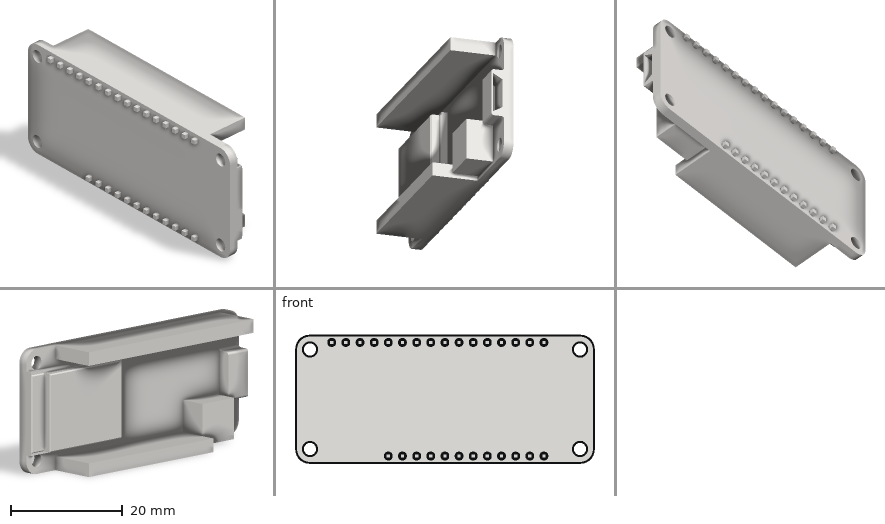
import cadquery as cq

board_length = 53.45
board_height = 22.9
board_thickness = 1.8
corner_radius = 2.5
mount_hole_diameter = 2.5
board_left = -board_length / 2
board_right = board_length / 2
board_bottom = -board_height / 2
board_top = board_height / 2

header_width = 2.5
header_depth = 8.55
header_overhang = 1.7
pin_side = 0.85
pin_reach = 0.8
pin_hole_diameter = 1.3
first_pin_x = -20.3
upper_row_length = 38.05
upper_pin_count = 16
pin_pitch = upper_row_length / (upper_pin_count - 1)
lower_pin_count = 12
pin_row_z = board_top - header_width / 2

usb_length = 5.0
usb_width = 8.8
usb_height = 2.4
usb_fillet = 0.5
usb_mouth_outer_width = 7.4
usb_mouth_inner_width = 5.35
usb_mouth_bottom = 0.3
usb_mouth_top = 2.15
usb_mouth_depth = 4.0

battery_length = 7.9
battery_width = 7.6
battery_height = 5.0
battery_center_x = -16.6
battery_edge_gap = 0.6

module_length = 21.7
module_width = 15.3
module_height = 1.1
plate_inset = 0.5
plate_thickness = 0.25
plate_chamfer = 0.2
shield_setback = 3.05
shield_height = 1.6
shield_chamfer = 0.2


def block(x_min, x_max, y_min, y_max, z_min, z_max):
    """Box between the given limits."""
    box = cq.Workplane("XY").box(x_max - x_min, y_max - y_min, z_max - z_min, centered=False)
    return box.translate((x_min, y_min, z_min))


def pin_centers(count):
    """X places of a row of pins that ends at the right-hand pin of the upper row."""
    skipped = upper_pin_count - count
    return [first_pin_x + pin_pitch * index for index in range(skipped, upper_pin_count)]


def make_board():
    """Rounded plate with a mounting hole concentric with each corner."""
    plate = block(board_left, board_right, 0, board_thickness, board_bottom, board_top)
    plate = plate.edges("|Y").fillet(corner_radius)
    return (
        plate.faces("<Y").workplane(centerOption="CenterOfBoundBox")
        .rect(board_length - 2 * corner_radius, board_height - 2 * corner_radius, forConstruction=True)
        .vertices().hole(mount_hole_diameter)
    )


def add_header(body, count, row_z):
    """Add a header body and its square pins, each pin in a clearance hole through the board."""
    centers = pin_centers(count)
    points = [(x, row_z) for x in centers]
    holes = cq.Workplane("XZ").pushPoints(points).circle(pin_hole_diameter / 2).extrude(-board_thickness)
    pins = (
        cq.Workplane("XZ", origin=(0, -pin_reach, 0))
        .pushPoints(points).rect(pin_side, pin_side).extrude(-(pin_reach + board_thickness))
    )
    header = block(
        centers[0] - header_overhang, centers[-1] + header_overhang,
        board_thickness, board_thickness + header_depth,
        row_z - header_width / 2, row_z + header_width / 2,
    )
    return body.cut(holes).union(header).union(pins)


def make_usb_socket():
    """Socket with rounded outer edges, fillets down to the board and a trapezoidal mouth."""
    half_width = usb_width / 2
    base = board_thickness
    top = base + usb_height
    foot = half_width + usb_fillet
    shoulder = half_width - usb_fillet
    shell = (
        cq.Workplane("YZ", origin=(board_left, 0, 0))
        .moveTo(base, -foot)
        .radiusArc((base + usb_fillet, -half_width), usb_fillet)
        .lineTo(top - usb_fillet, -half_width)
        .radiusArc((top, -shoulder), -usb_fillet)
        .lineTo(top, shoulder)
        .radiusArc((top - usb_fillet, half_width), -usb_fillet)
        .lineTo(base + usb_fillet, half_width)
        .radiusArc((base, foot), usb_fillet)
        .close().extrude(usb_length)
    )
    mouth_bottom = base + usb_mouth_bottom
    mouth_top = base + usb_mouth_top
    mouth = (
        cq.Workplane("YZ", origin=(board_left, 0, 0))
        .polyline([
            (mouth_bottom, -usb_mouth_inner_width / 2),
            (mouth_top, -usb_mouth_outer_width / 2),
            (mouth_top, usb_mouth_outer_width / 2),
            (mouth_bottom, usb_mouth_inner_width / 2),
        ])
        .close().extrude(usb_mouth_depth)
    )
    return shell.cut(mouth)


def make_battery_socket():
    """Plain block near the lower edge of the board."""
    z_min = board_bottom + battery_edge_gap
    return block(
        battery_center_x - battery_length / 2, battery_center_x + battery_length / 2,
        board_thickness, board_thickness + battery_height,
        z_min, z_min + battery_width,
    )


def make_radio_module():
    """Module board carrying a thin plate and a shield can, both with chamfered rims."""
    x_min = board_right - module_length
    module_top = board_thickness + module_height
    plate_top = module_top + plate_thickness
    half_width = module_width / 2
    half_plate = half_width - plate_inset
    carrier = block(x_min, board_right, board_thickness, module_top, -half_width, half_width)
    plate = block(x_min, board_right, module_top, plate_top, -half_plate, half_plate)
    plate = plate.faces(">Y").edges().chamfer(plate_chamfer)
    shield = block(
        x_min + plate_inset, board_right - shield_setback,
        plate_top, plate_top + shield_height, -half_plate, half_plate,
    )
    shield = shield.faces(">Y").edges().chamfer(shield_chamfer)
    return carrier.union(plate).union(shield)


result = make_board()
result = add_header(result, upper_pin_count, pin_row_z)
result = add_header(result, lower_pin_count, -pin_row_z)
result = result.union(make_usb_socket())
result = result.union(make_battery_socket())
result = result.union(make_radio_module())